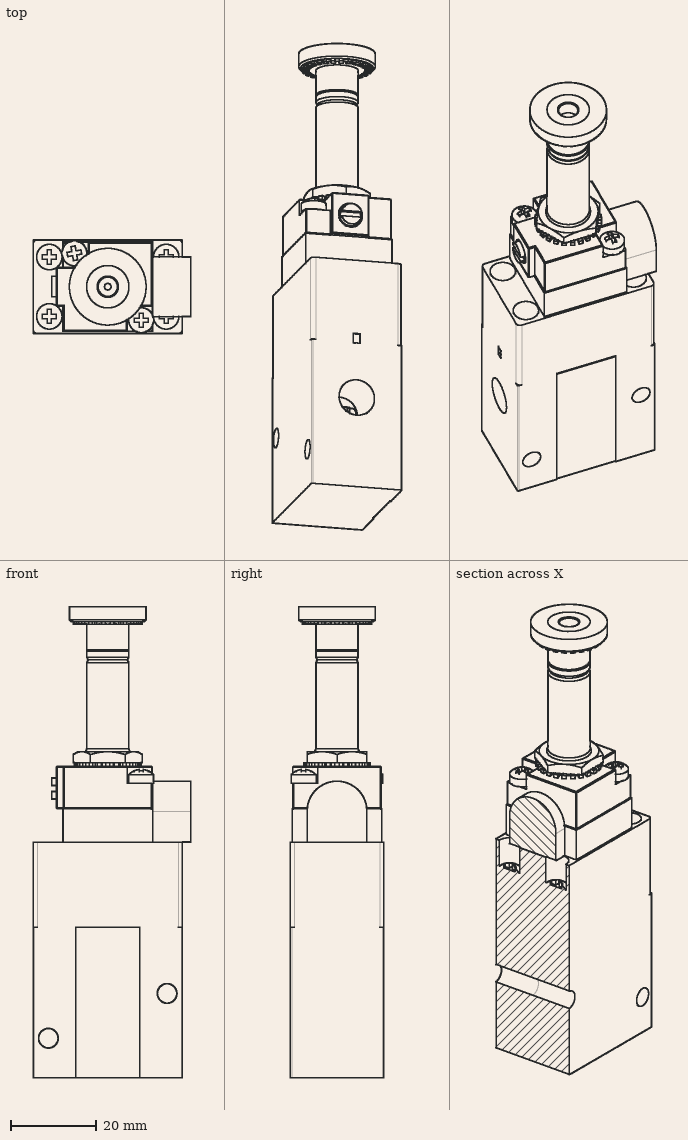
import cadquery as cq
import math

TOTAL_HEIGHT = 110.5

HOUSING_LENGTH = 35.0
HOUSING_WIDTH = 22.0
HOUSING_HEIGHT = 55.2
LOWER_HEIGHT = 35.2
UPPER_CORNER_RADIUS = 1.0
LOWER_CORNER_RADIUS = 0.3
PANEL_WIDTH = 15.0
PANEL_DEPTH = 0.2
MOUNTING_HOLE_DIAMETER = 4.5
MOUNTING_HOLE_X = 13.9
MOUNTING_HOLE_LOW_Z = 9.3
MOUNTING_HOLE_HIGH_Z = 19.8
PORT_DIAMETER = 8.6
PORT_Z = 21.8
PORT_FLOOR_X = -2.3
PORT_SLOT_WIDTH = 8.0
PORT_SLOT_HEIGHT = 3.6
PORT_SLOT_DEPTH = 0.2
PORT_SLOT_RADIUS = 0.9
CHAMBER_DIAMETER = 6.5
CHAMBER_HEIGHT = 4.1
CORE_DIAMETER = 3.5
CORE_FLARE_DIAMETER = 5.0
CORE_FLARE_HEIGHT = 0.7
WINDOW_WIDTH = 1.7
WINDOW_HEIGHT = 2.3
WINDOW_DEPTH = 0.5
WINDOW_Z = 36.2
HOUSING_SCREW_X = 13.7
HOUSING_SCREW_Y = 7.0
HOUSING_SCREW_DEPTH = 5.5
HOUSING_SCREW_DIAMETER = 6.0

SCREW_EDGE_HEIGHT = 2.0
SCREW_DOME_HEIGHT = 1.3
CROSS_LENGTH = 3.3
CROSS_ARM_WIDTH = 1.0
CROSS_DEPTH = 1.3

BASE_SIDE = 21.0
BASE_TOP = 63.1
CAP_SIDE = 20.8
CAP_TOP = 73.0
CAP_CHAMFER = 0.2
LUG_REACH = 12.0
RECESS_INNER = 4.5
LUG_WIDTH = 2 * RECESS_INNER
RECESS_FLOOR = 69.1
CAP_SCREW_DIAMETER = 5.9
CAP_SCREW_OFFSET = 7.8
TURNED_SCREW_ANGLE = 10.0
CONNECTOR_DIAMETER = 14.0
CONNECTOR_AXIS_Z = 62.5
OVERALL_LENGTH = 37.0
OVERRIDE_Z = 67.8
OVERRIDE_DIAMETER = 5.0
OVERRIDE_PROTRUSION = 1.1
OVERRIDE_SLOT_WIDTH = 1.3
OVERRIDE_POCKET_DIAMETER = 5.7
OVERRIDE_POCKET_DEPTH = 0.5

WASHER_TEETH = 24
TOOTH_DEPTH = 1.5
HEX_WASHER_DIAMETER = 15.7
KNOB_WASHER_DIAMETER = 16.2

HEX_BOTTOM = 73.9
HEX_TOP = 76.5
HEX_ACROSS_FLATS = 14.0
HEX_CHAMFER_ANGLE = 30.0
TUBE_DIAMETER = 10.0
TUBE_FOOT_DIAMETER = 10.5
TUBE_FOOT_TOP = 77.1
GROOVE_DIAMETER = 9.3
GROOVE_BOTTOM = 97.4
GROOVE_TOP = 98.7
FINE_GROOVE_Z = 100.2
FINE_GROOVE_WIDTH = 0.3
FINE_GROOVE_DEPTH = 0.1
BORE_MOUTH_DIAMETER = 5.0
BORE_DIAMETER = 4.5
BORE_TIP_DIAMETER = 1.5
BORE_MOUTH_DEPTH = 0.2
BORE_CONE_TOP = 107.2
BORE_CONE_BOTTOM = 105.9
BORE_BOTTOM = 103.9

KNOB_DIAMETER = 18.0
KNOB_BOTTOM = 107.0
KNOB_CHAMFER = 0.4
KNOB_WASHER_BOTTOM = 106.4


def box(x_range, y_range, z_range):
    """Box between the given limits on each axis."""
    sizes = [high - low for low, high in (x_range, y_range, z_range)]
    corner = (x_range[0], y_range[0], z_range[0])
    return cq.Workplane("XY").box(*sizes, centered=False).translate(corner)


def cylinder(diameter, bottom, top, x=0.0, y=0.0):
    """Upright cylinder between two heights."""
    return cq.Workplane("XY", origin=(x, y, bottom)).circle(diameter / 2).extrude(top - bottom)


def x_cylinder(diameter, start, end, z):
    """Cylinder along X, on the plane Y = 0."""
    return cq.Workplane("YZ", origin=(start, 0, z)).circle(diameter / 2).extrude(end - start)


def cone(bottom_diameter, top_diameter, bottom, top):
    """Truncated cone on the Z axis."""
    profile = [(0, bottom), (bottom_diameter / 2, bottom), (top_diameter / 2, top), (0, top)]
    return cq.Workplane("XZ").polyline(profile).close().revolve(360, (0, 0), (0, 1))


def screw_head(diameter, x, y, bottom, angle=0.0):
    """Domed screw head with a cross recess turned by the given angle."""
    radius = diameter / 2
    top = SCREW_EDGE_HEIGHT + SCREW_DOME_HEIGHT
    dome_radius = (radius**2 + SCREW_DOME_HEIGHT**2) / (2 * SCREW_DOME_HEIGHT)
    half_angle = math.asin(radius / dome_radius) / 2
    middle = (
        dome_radius * math.sin(half_angle),
        top - dome_radius * (1 - math.cos(half_angle)),
    )
    head = (
        cq.Workplane("XZ")
        .lineTo(radius, 0)
        .lineTo(radius, SCREW_EDGE_HEIGHT)
        .threePointArc(middle, (0, top))
        .close()
        .revolve(360, (0, 0), (0, 1))
    )
    for arm_angle in (0, 90):
        arm = cq.Workplane("XY", origin=(0, 0, top - CROSS_DEPTH)).rect(CROSS_LENGTH, CROSS_ARM_WIDTH)
        head = head.cut(arm.extrude(CROSS_DEPTH).rotate((0, 0, 0), (0, 0, 1), arm_angle + angle))
    return head.translate((x, y, bottom))


def lock_washer(diameter, bottom, top):
    """Washer with evenly spaced gaps between its outer teeth."""
    washer = cylinder(diameter, bottom, top)
    pitch_angle = 360 / WASHER_TEETH
    gap_width = math.pi * diameter / WASHER_TEETH / 2
    inner_radius = diameter / 2 - TOOTH_DEPTH
    gap = box((inner_radius, diameter), (-gap_width / 2, gap_width / 2), (bottom, top))
    for index in range(WASHER_TEETH):
        washer = washer.cut(gap.rotate((0, 0, 0), (0, 0, 1), (index + 0.5) * pitch_angle))
    return washer


def cut_port(housing):
    """Side port whose floor opens into a ring chamber around the core."""
    housing = housing.cut(x_cylinder(PORT_DIAMETER, -HOUSING_LENGTH / 2, PORT_FLOOR_X, PORT_Z))
    slot = (
        cq.Workplane("YZ", origin=(PORT_FLOOR_X, 0, PORT_Z))
        .rect(PORT_SLOT_WIDTH, PORT_SLOT_HEIGHT)
        .extrude(PORT_SLOT_DEPTH)
        .edges("|X")
        .fillet(PORT_SLOT_RADIUS)
    )
    bottom = PORT_Z - CHAMBER_HEIGHT / 2
    top = PORT_Z + CHAMBER_HEIGHT / 2
    core = cylinder(CORE_DIAMETER, bottom, top)
    core = core.union(cone(CORE_DIAMETER, CORE_FLARE_DIAMETER, top - CORE_FLARE_HEIGHT, top))
    chamber = cylinder(CHAMBER_DIAMETER, bottom, top)
    return housing.cut(slot).cut(chamber).union(core)


def cut_mounting_holes(housing):
    """Two through holes along Y on opposite sides of the panel."""
    places = [(-MOUNTING_HOLE_X, MOUNTING_HOLE_LOW_Z), (MOUNTING_HOLE_X, MOUNTING_HOLE_HIGH_Z)]
    holes = cq.Workplane("XZ").pushPoints(places).circle(MOUNTING_HOLE_DIAMETER / 2)
    return housing.cut(holes.extrude(HOUSING_WIDTH, both=True))


def add_sunk_screws(housing):
    """Counterbores in the top face, each filled at the bottom by a screw head."""
    head_bottom = HOUSING_HEIGHT - HOUSING_SCREW_DEPTH - SCREW_EDGE_HEIGHT - SCREW_DOME_HEIGHT
    for x in (-HOUSING_SCREW_X, HOUSING_SCREW_X):
        for y in (-HOUSING_SCREW_Y, HOUSING_SCREW_Y):
            housing = housing.cut(cylinder(HOUSING_SCREW_DIAMETER, head_bottom, HOUSING_HEIGHT, x, y))
            housing = housing.union(screw_head(HOUSING_SCREW_DIAMETER, x, y, head_bottom))
    return housing


def make_housing():
    half_length = HOUSING_LENGTH / 2
    half_width = HOUSING_WIDTH / 2
    outline = ((-half_length, half_length), (-half_width, half_width))
    lower = box(*outline, (0, LOWER_HEIGHT)).edges("|Z").fillet(LOWER_CORNER_RADIUS)
    upper = box(*outline, (LOWER_HEIGHT, HOUSING_HEIGHT)).edges("|Z").fillet(UPPER_CORNER_RADIUS)
    housing = lower.union(upper)

    half_panel = PANEL_WIDTH / 2
    panel = box((-half_panel, half_panel), (-half_width, PANEL_DEPTH - half_width), (0, LOWER_HEIGHT))
    housing = housing.cut(panel)

    window = box(
        (-half_length, WINDOW_DEPTH - half_length),
        (-WINDOW_WIDTH / 2, WINDOW_WIDTH / 2),
        (WINDOW_Z - WINDOW_HEIGHT / 2, WINDOW_Z + WINDOW_HEIGHT / 2),
    )
    housing = housing.cut(window)
    return add_sunk_screws(cut_mounting_holes(cut_port(housing)))


def make_cap():
    """Chamfered cap with a lug on the -X side and a screw in each of two opposite corners."""
    half = CAP_SIDE / 2
    heights = (BASE_TOP, CAP_TOP)
    block = box((-half, half), (-half, half), heights).edges("|Z or <Z").chamfer(CAP_CHAMFER)
    lug = box((-LUG_REACH, 0), (-LUG_WIDTH / 2, LUG_WIDTH / 2), heights)
    cap = block.union(lug.edges("(|Z and <X) or <Z").chamfer(CAP_CHAMFER))

    for side in (1, -1):
        x_range = sorted((side * RECESS_INNER, side * half))
        y_range = sorted((-side * RECESS_INNER, -side * half))
        cap = cap.cut(box(x_range, y_range, (RECESS_FLOOR, CAP_TOP)))
    cap = cap.faces(">Z").edges().chamfer(CAP_CHAMFER)

    for side, angle in ((1, 0.0), (-1, TURNED_SCREW_ANGLE)):
        offset = side * CAP_SCREW_OFFSET
        cap = cap.union(screw_head(CAP_SCREW_DIAMETER, offset, -offset, RECESS_FLOOR, angle))
    return cap


def make_override():
    """Slotted manual override screw, from the pocket floor outwards."""
    outer_x = -LUG_REACH - OVERRIDE_PROTRUSION
    floor_x = OVERRIDE_POCKET_DEPTH - LUG_REACH
    screw = x_cylinder(OVERRIDE_DIAMETER, outer_x, floor_x, OVERRIDE_Z)
    half_slot = OVERRIDE_SLOT_WIDTH / 2
    slot = box(
        (outer_x, -LUG_REACH),
        (-OVERRIDE_DIAMETER, OVERRIDE_DIAMETER),
        (OVERRIDE_Z - half_slot, OVERRIDE_Z + half_slot),
    )
    return screw.cut(slot)


def make_connector():
    """Round-topped connector that reaches past the +X side of the housing."""
    end = OVERALL_LENGTH - HOUSING_LENGTH / 2
    start = BASE_SIDE / 2
    radius = CONNECTOR_DIAMETER / 2
    block = box((start, end), (-radius, radius), (HOUSING_HEIGHT, CONNECTOR_AXIS_Z))
    return block.union(x_cylinder(CONNECTOR_DIAMETER, start, end, CONNECTOR_AXIS_Z))


def make_pilot_head():
    half = BASE_SIDE / 2
    base = box((-half, half), (-half, half), (HOUSING_HEIGHT, BASE_TOP))
    connector = make_connector().cut(box((0, OVERALL_LENGTH), (-half, half), (0, HOUSING_HEIGHT)))
    pocket_floor_x = OVERRIDE_POCKET_DEPTH - LUG_REACH
    pocket = x_cylinder(OVERRIDE_POCKET_DIAMETER, -LUG_REACH, pocket_floor_x, OVERRIDE_Z)
    return base.union(connector).union(make_cap().cut(pocket)).union(make_override())


def make_hexagon():
    """Hexagon with corners along X and its upper corners turned to a cone."""
    across_corners = HEX_ACROSS_FLATS / math.cos(math.pi / 6)
    hexagon = cq.Workplane("XY", origin=(0, 0, HEX_BOTTOM)).polygon(6, across_corners)
    height = HEX_TOP - HEX_BOTTOM
    hexagon = hexagon.extrude(height)
    spread = 2 * height / math.tan(math.radians(HEX_CHAMFER_ANGLE))
    return hexagon.intersect(cone(HEX_ACROSS_FLATS + spread, HEX_ACROSS_FLATS, HEX_BOTTOM, HEX_TOP))


def make_tube():
    """Armature tube on its hexagon and lock washer, running up through the knob."""
    tube = make_hexagon().union(lock_washer(HEX_WASHER_DIAMETER, CAP_TOP, HEX_BOTTOM))
    tube = tube.union(cone(TUBE_FOOT_DIAMETER, TUBE_DIAMETER, HEX_TOP, TUBE_FOOT_TOP))
    tube = tube.union(cylinder(TUBE_DIAMETER, TUBE_FOOT_TOP, TOTAL_HEIGHT))

    radius = TUBE_DIAMETER / 2
    groove_radius = GROOVE_DIAMETER / 2
    groove_middle = (GROOVE_BOTTOM + GROOVE_TOP) / 2
    groove_profile = [(radius, GROOVE_BOTTOM), (groove_radius, groove_middle), (radius, GROOVE_TOP)]
    groove = cq.Workplane("XZ").polyline(groove_profile).close().revolve(360, (0, 0), (0, 1))
    half_fine = FINE_GROOVE_WIDTH / 2
    fine_bottom = FINE_GROOVE_Z - half_fine
    fine_top = FINE_GROOVE_Z + half_fine
    fine_groove = cylinder(TUBE_DIAMETER, fine_bottom, fine_top)
    fine_groove = fine_groove.cut(cylinder(TUBE_DIAMETER - 2 * FINE_GROOVE_DEPTH, fine_bottom, fine_top))
    tube = tube.cut(groove).cut(fine_groove)

    mouth_bottom = TOTAL_HEIGHT - BORE_MOUTH_DEPTH
    tube = tube.cut(cone(BORE_DIAMETER, BORE_MOUTH_DIAMETER, mouth_bottom, TOTAL_HEIGHT))
    tube = tube.cut(cylinder(BORE_DIAMETER, BORE_CONE_TOP, mouth_bottom))
    tube = tube.cut(cone(BORE_TIP_DIAMETER, BORE_DIAMETER, BORE_CONE_BOTTOM, BORE_CONE_TOP))
    return tube.cut(cylinder(BORE_TIP_DIAMETER, BORE_BOTTOM, BORE_CONE_BOTTOM))


def make_knob():
    """Knob disc with a lock washer below it, bored for the tube."""
    disc = cylinder(KNOB_DIAMETER, KNOB_BOTTOM, TOTAL_HEIGHT).faces("<Z").chamfer(KNOB_CHAMFER)
    knob = disc.union(lock_washer(KNOB_WASHER_DIAMETER, KNOB_WASHER_BOTTOM, KNOB_BOTTOM))
    return knob.cut(cylinder(TUBE_DIAMETER, KNOB_WASHER_BOTTOM, TOTAL_HEIGHT))


housing = make_housing()
pilot_head = make_pilot_head()
tube = make_tube()
knob = make_knob()

result = cq.Compound.makeCompound([housing.val(), pilot_head.val(), tube.val(), knob.val()])